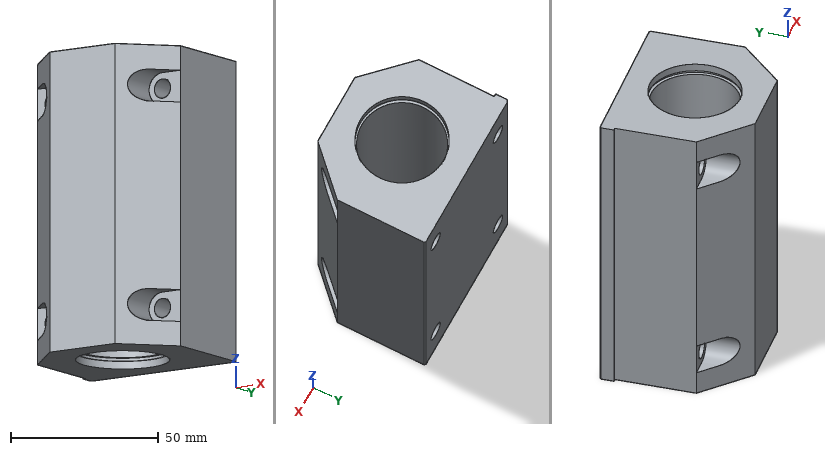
import cadquery as cq

length = 104.0
total_width = 60.0
depth = 50.0
lip_width = 1.0
lip_height = 5.0
edge_chamfer = 0.5
bevel = 16.1
bore_to_mounting_face = 25.0

bore_diameter = 31.0
seat_diameter = 32.0
groove_diameter = 33.5
seat_depth = 2.7
groove_width = 1.1

hole_diameter = 6.7
hole_spacing_x = 45.0
hole_spacing_z = 76.0
pocket_diameter = 11.0

back = bore_to_mounting_face
front = back - depth
right = total_width / 2
lip_left = -right
left = lip_left + lip_width
pocket_floor = front + bevel


def make_body():
    """Extrude the bevelled block with its reference lip."""
    outline = [
        (lip_left + edge_chamfer, back),
        (right - edge_chamfer, back),
        (right, back - edge_chamfer),
        (right, pocket_floor),
        (right - bevel, front),
        (left + bevel, front),
        (left, pocket_floor),
        (left, back - lip_height),
        (lip_left, back - lip_height),
        (lip_left, back - edge_chamfer),
    ]
    return cq.Workplane("XY").polyline(outline).close().extrude(length)


def cylinder_z(diameter, start, height):
    return cq.Workplane("XY").workplane(offset=start).circle(diameter / 2).extrude(height)


def make_bore():
    """Through bore with a wider seat and a retaining ring groove at each end."""
    bore = cylinder_z(bore_diameter, 0, length)
    for seat_start in (0, length - seat_depth):
        bore = bore.union(cylinder_z(seat_diameter, seat_start, seat_depth))
    for groove_start in (seat_depth, length - seat_depth - groove_width):
        bore = bore.union(cylinder_z(groove_diameter, groove_start, groove_width))
    return bore


def make_screw_cut(side, z):
    """Through hole along Y and a round-ended pocket that opens to the nearer X side."""
    x = side * hole_spacing_x / 2
    hole = cq.Workplane("XZ", origin=(x, back, z)).circle(hole_diameter / 2).extrude(depth)
    pocket_plane = cq.Workplane("XZ", origin=(x, pocket_floor, z))
    round_end = pocket_plane.circle(pocket_diameter / 2).extrude(bevel)
    opening = pocket_plane.center(side * pocket_diameter / 2, 0).rect(pocket_diameter, pocket_diameter)
    return hole.union(round_end).union(opening.extrude(bevel))


result = make_body().cut(make_bore())
for side in (-1, 1):
    for z in (length / 2 - hole_spacing_z / 2, length / 2 + hole_spacing_z / 2):
        result = result.cut(make_screw_cut(side, z))